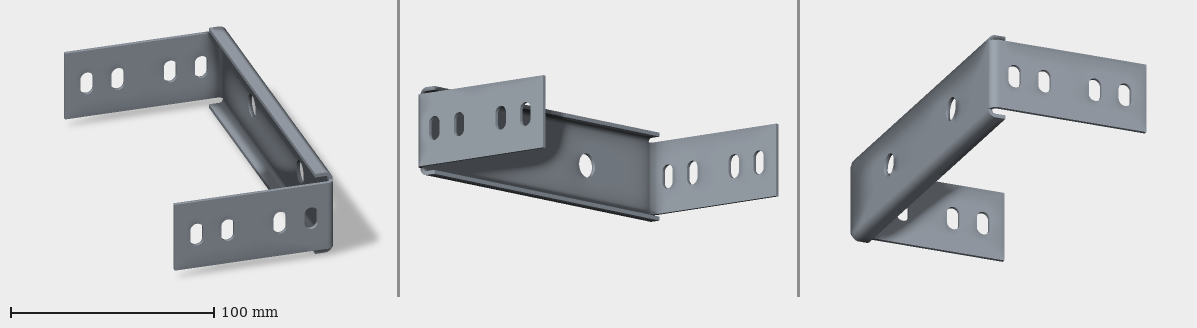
import cadquery as cq

length = 178.0
depth = 83.0
height = 44.0

thickness = 2.0
bend_radius = 4.0
inner_bend_radius = bend_radius - thickness
lip_depth = 9.0

arm_height = height - 2 * bend_radius
lip_length = length - 2 * bend_radius

plate_hole_diameter = 12.0
plate_hole_spacing = 77.0

slot_width = 6.8
slot_height = 12.0
slot_pair_pitch = 16.0
first_slot_from_back = 12.5
second_pair_offset = 43.0



def channel(plane, width, leg_depth, extent):
    """U channel opening toward -Y, centred on the plane and extruded both ways."""

    def filled_profile(half_width, back, radius):
        block = (
            cq.Workplane(plane)
            .moveTo(-half_width, -leg_depth)
            .lineTo(-half_width, back - radius)
            .radiusArc((-half_width + radius, back), radius)
            .lineTo(half_width - radius, back)
            .radiusArc((half_width, back - radius), radius)
            .lineTo(half_width, -leg_depth)
            .close()
        )
        return block.extrude(extent / 2, both=True)

    outside = filled_profile(width / 2, 0, bend_radius)
    inside = filled_profile(width / 2 - thickness, -thickness, inner_bend_radius)
    return outside.cut(inside)


def plate_holes():
    """Cylinders that cut the two holes in the back plate."""
    centers = [(-plate_hole_spacing / 2, 0), (plate_hole_spacing / 2, 0)]
    return (
        cq.Workplane("XZ")
        .pushPoints(centers)
        .circle(plate_hole_diameter / 2)
        .extrude(thickness)
    )


def arm_slots():
    """Round-ended bars along X that cut the slots in both arms."""
    centers = []
    for pair_offset in (0, second_pair_offset):
        for slot_offset in (0, slot_pair_pitch):
            centers.append((-first_slot_from_back - pair_offset - slot_offset, 0))
    return (
        cq.Workplane("YZ")
        .pushPoints(centers)
        .slot2D(slot_height, slot_width, 90)
        .extrude(length / 2, both=True)
    )


arms = channel("XY", length, depth, arm_height)

lip_plane = cq.Plane(origin=(0, 0, 0), xDir=(0, 0, 1), normal=(-1, 0, 0))
lips = channel(lip_plane, height, lip_depth, lip_length)

result = arms.union(lips).cut(plate_holes()).cut(arm_slots())